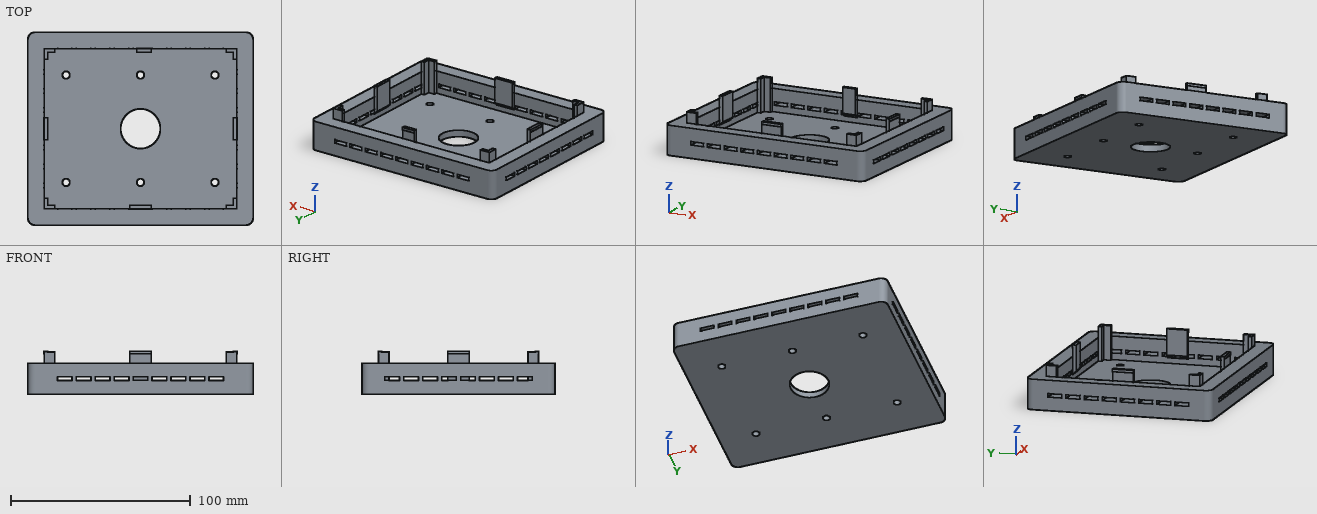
import cadquery as cq

length = 125.5
width = 107.4
body_height = 17.5
total_height = 24.1
cavity_length = 107.3
cavity_width = 89.2
floor_thickness = 4.0
corner_radius = 4.0

centre_hole_diameter = 22.0
screw_hole_diameter = 4.0
screw_spacing_x = 41.4
screw_spacing_y = 59.7

slot_length = 8.0
slot_height = 2.0
slot_pitch = 10.5
slot_bottom = 7.8
long_side_slots = 9
short_side_slots = 8

rib_thickness = 2.0
post_leg = 6.0
post_top = 23.7
clip_width = 12.0
clip_bottom = 9.2
clip_lip_height = 1.5
clip_lip_depth = 0.1
short_clip_width = 8.0


def make_body():
    body = cq.Workplane("XY").box(length, width, body_height, centered=(True, True, False))
    body = body.edges("|Z").fillet(corner_radius)
    return body.faces(">Z").workplane().rect(cavity_length, cavity_width).cutBlind(
        floor_thickness - body_height
    )


def make_floor_holes():
    centre = cq.Workplane("XY").circle(centre_hole_diameter / 2).extrude(body_height)
    screws = (
        cq.Workplane("XY")
        .rarray(screw_spacing_x, screw_spacing_y, 3, 2)
        .circle(screw_hole_diameter / 2)
        .extrude(body_height)
    )
    return centre.union(screws)


def make_slots():
    slot_centre = slot_bottom + slot_height / 2
    along_x = (
        cq.Workplane("XZ", origin=(0, 0, slot_centre))
        .rarray(slot_pitch, 1.3, long_side_slots, 1)
        .rect(slot_length, slot_height)
        .extrude(width, both=True)
    )
    along_y = (
        cq.Workplane("YZ", origin=(0, 0, slot_centre))
        .rarray(slot_pitch, 1.3, short_side_slots, 1)
        .rect(slot_length, slot_height)
        .extrude(length, both=True)
    )
    return along_x.union(along_y)


def make_post(side_x, side_y):
    """L-shaped post in one corner of the cavity, standing on the floor."""
    corner_x = side_x * cavity_length / 2
    corner_y = side_y * cavity_width / 2
    return (
        cq.Workplane("XY", origin=(corner_x, corner_y, floor_thickness))
        .lineTo(-side_x * post_leg, 0)
        .lineTo(-side_x * post_leg, -side_y * rib_thickness)
        .lineTo(-side_x * rib_thickness, -side_y * rib_thickness)
        .lineTo(-side_x * rib_thickness, -side_y * post_leg)
        .lineTo(0, -side_y * post_leg)
        .close()
        .extrude(post_top - floor_thickness)
    )


def make_clip(half_span, clip_length, angle):
    """Upright clip on a cavity wall, with a lip over the rim and a 45 degree foot below.

    It is drawn on the -Y wall, starting at the -X end of a full-width clip, then turned by angle.
    """
    inner = half_span - rib_thickness
    lip_outer = half_span + clip_lip_depth
    lip_bottom = total_height - clip_lip_height
    clip = (
        cq.Workplane("YZ", origin=(-clip_width / 2, 0, 0))
        .moveTo(-inner, total_height)
        .lineTo(-inner, clip_bottom)
        .lineTo(-half_span, clip_bottom - rib_thickness)
        .lineTo(-half_span, lip_bottom)
        .lineTo(-lip_outer, lip_bottom)
        .lineTo(-lip_outer, total_height)
        .close()
        .extrude(clip_length)
    )
    return clip.rotate((0, 0, 0), (0, 0, 1), angle)


result = make_body().cut(make_floor_holes()).cut(make_slots())

for side_x in (-1, 1):
    for side_y in (-1, 1):
        result = result.union(make_post(side_x, side_y))

clips = (
    (cavity_width / 2, clip_width, 0),
    (cavity_length / 2, clip_width, 90),
    (cavity_width / 2, short_clip_width, 180),
    (cavity_length / 2, clip_width, 270),
)
for half_span, clip_length, angle in clips:
    result = result.union(make_clip(half_span, clip_length, angle))